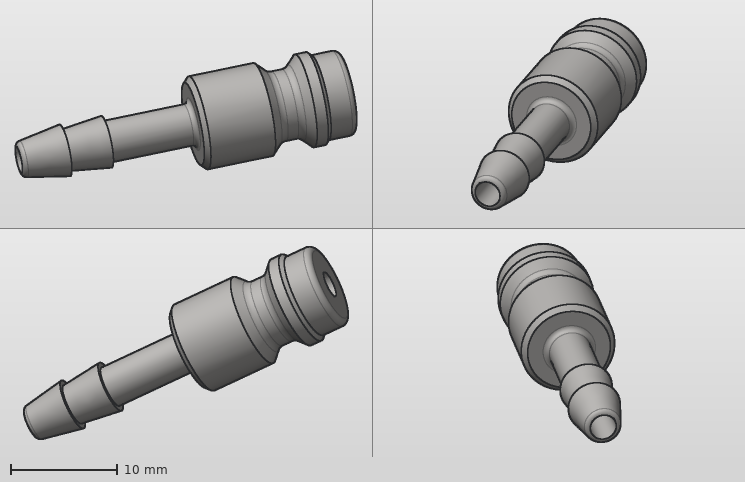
import cadquery as cq
import math

length = 32.0

body_radius = 4.48
nose_radius = 4.1
groove_radius = 3.35
stem_radius = 2.0
barb_radius = 2.5
tip_taper_radius = 1.75
bore_radius = 1.25

second_barb_y = 4.48
first_barb_y = 8.55
body_front_y = 17.0
body_rear_y = 23.8
collar_front_y = 27.87
collar_rear_y = 28.95

nose_round = 0.6
body_chamfer = 0.5
collar_chamfer = body_radius - nose_radius
groove_round = 0.95
stem_round = 0.5
tip_round = 0.5

tip_height = 0.4

round_length = groove_round * math.sin(math.radians(45))
round_rise = groove_round * (1 - math.cos(math.radians(45)))
wall_length = body_radius - groove_radius - round_rise

groove_front_y = body_rear_y + wall_length
groove_rear_y = collar_front_y - wall_length


def tangent_arc(sketch, radius, y):
    """Continue smoothly from the previous edge to the given point."""
    return sketch.tangentArcPoint((radius, y), relative=False)


profile = cq.Workplane("XY").moveTo(bore_radius, 0)

profile = profile.radiusArc((tip_taper_radius, tip_height), -tip_round)
profile = profile.lineTo(barb_radius, second_barb_y)
profile = profile.lineTo(stem_radius, second_barb_y)
profile = profile.lineTo(barb_radius, first_barb_y)
profile = profile.lineTo(stem_radius, first_barb_y)

profile = profile.lineTo(stem_radius, body_front_y - stem_round)
profile = tangent_arc(profile, stem_radius + stem_round, body_front_y)

profile = profile.lineTo(body_radius - body_chamfer, body_front_y)
profile = profile.lineTo(body_radius, body_front_y + body_chamfer)
profile = profile.lineTo(body_radius, body_rear_y)

profile = profile.lineTo(groove_radius + round_rise, groove_front_y)
profile = tangent_arc(profile, groove_radius, groove_front_y + round_length)
profile = profile.lineTo(groove_radius, groove_rear_y - round_length)
profile = tangent_arc(profile, groove_radius + round_rise, groove_rear_y)
profile = profile.lineTo(body_radius, collar_front_y)

profile = profile.lineTo(body_radius, collar_rear_y)
profile = profile.lineTo(nose_radius, collar_rear_y + collar_chamfer)
profile = profile.lineTo(nose_radius, length - nose_round)
profile = tangent_arc(profile, nose_radius - nose_round, length)

profile = profile.lineTo(bore_radius, length).close()

result = profile.revolve(360, (0, 0, 0), (0, 1, 0))